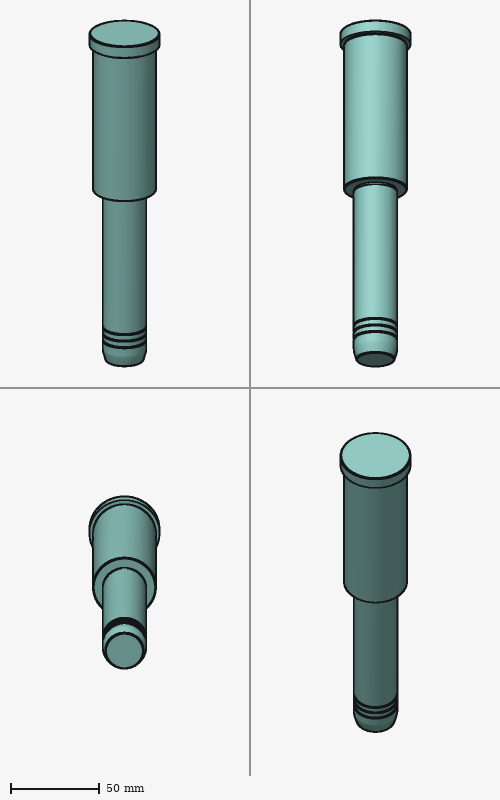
import cadquery as cq

LENGTH = 200.0
HEAD_RADIUS = 20.0
BODY_RADIUS = 18.0
PIN_RADIUS = 12.5

HEAD_HEIGHT = 7.0
BODY_BOTTOM = 104.0
HEAD_BOTTOM = LENGTH - HEAD_HEIGHT

HEAD_CHAMFER = 0.5
BODY_CHAMFER = 0.5
RELIEF_DEPTH = 0.5
HEAD_RELIEF_WIDTH = 0.5
PIN_RELIEF_WIDTH = 1.5

GROOVE_COUNT = 3
FIRST_GROOVE_CENTER = 12.5
GROOVE_PITCH = 4.0
GROOVE_WIDTH = 1.0
GROOVE_DEPTH = 0.5

LEAD_HEIGHT = 7.0
LEAD_END_RADIUS = 11.0
LEAD_MID_RADIUS = 12.0
TIP_CHAMFER = 0.5


def cylinder(radius, bottom, top):
    """Solid cylinder on the Z axis."""
    return cq.Workplane("XY").workplane(offset=bottom).circle(radius).extrude(top - bottom)


def v_groove_cut(center):
    """Triangular ring that cuts one lubrication groove at the given height."""
    profile = cq.Workplane("XZ").polyline([
        (PIN_RADIUS, center - GROOVE_WIDTH / 2),
        (PIN_RADIUS - GROOVE_DEPTH, center),
        (PIN_RADIUS, center + GROOVE_WIDTH / 2),
    ]).close()
    return profile.revolve(360, (0, 0, 0), (0, 1, 0))


def make_pin():
    """Pin with a convex lead-in, lubrication grooves and a relief under the body."""
    relief_bottom = BODY_BOTTOM - PIN_RELIEF_WIDTH
    profile = (
        cq.Workplane("XZ")
        .lineTo(LEAD_END_RADIUS - TIP_CHAMFER, 0)
        .lineTo(LEAD_END_RADIUS, TIP_CHAMFER)
        .threePointArc(
            (LEAD_MID_RADIUS, (TIP_CHAMFER + LEAD_HEIGHT) / 2),
            (PIN_RADIUS, LEAD_HEIGHT),
        )
        .lineTo(PIN_RADIUS, relief_bottom)
        .lineTo(0, relief_bottom)
        .close()
    )
    pin = profile.revolve(360, (0, 0, 0), (0, 1, 0))
    for index in range(GROOVE_COUNT):
        pin = pin.cut(v_groove_cut(FIRST_GROOVE_CENTER + index * GROOVE_PITCH))
    return pin.union(cylinder(PIN_RADIUS - RELIEF_DEPTH, relief_bottom, BODY_BOTTOM))


def make_body():
    """Thick shank with a chamfered lower edge and a relief with a sloped lower wall under the head."""
    relief_bottom = HEAD_BOTTOM - HEAD_RELIEF_WIDTH
    relief_radius = BODY_RADIUS - RELIEF_DEPTH
    shank = (
        cylinder(BODY_RADIUS, BODY_BOTTOM, relief_bottom)
        .faces("<Z").chamfer(BODY_CHAMFER)
        .faces(">Z").chamfer(RELIEF_DEPTH)
    )
    return shank.union(cylinder(relief_radius, relief_bottom, HEAD_BOTTOM))


def make_head():
    """Flat head with a chamfered top edge."""
    return cylinder(HEAD_RADIUS, HEAD_BOTTOM, LENGTH).faces(">Z").chamfer(HEAD_CHAMFER)


result = make_pin().union(make_body()).union(make_head())